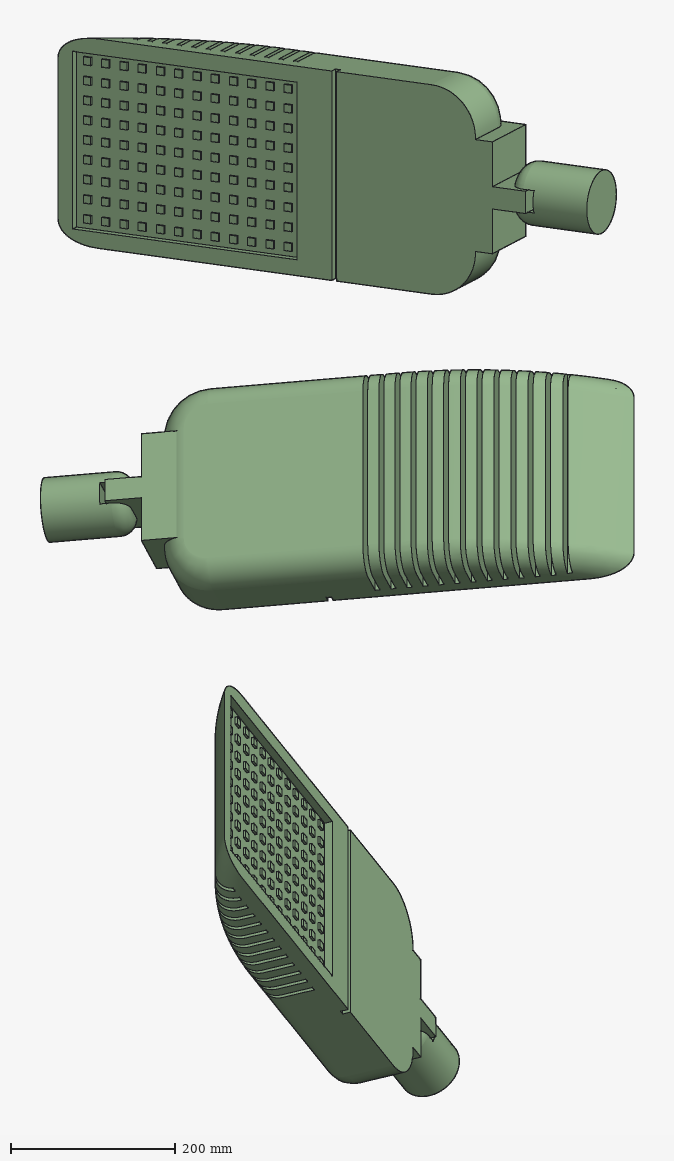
import cadquery as cq
import math

overall_length = 722.0
body_length = 572.0
body_width = 265.0
body_thickness = 91.0
nose_length = 277.0
rear_corner_radius = 60.0
back_fillet = 30.0

slot_count = 13
slot_row_length = 240.0
slot_pitch = slot_row_length / (slot_count - 1)
slot_width = 6.0
slot_floor = 20.0
first_slot_x = 76.0

groove_x = 378.0
groove_width = 6.5
groove_depth = 10.0

window_start = 20.0
window_length = 307.0
window_width = 224.5
window_depth = 10.0
led_columns = 12
led_rows = 9
led_row_length = 275.0
led_pitch = led_row_length / (led_columns - 1)
led_size = 10.0
led_height = 3.0

mount_thickness = 89.5
block_width = 141.5
block_end = 595.0
tongue_width = 28.0
tongue_end = 640.5
socket_start = 614.0
socket_diameter = 79.5
socket_fillet = 20.0
socket_axis_y = 44.0
socket_slot_end = 648.0


def box_between(x_start, x_end, y_start, y_end, width):
    """Box spanning the given X and Y ranges, centred on Z = 0."""
    return cq.Workplane("XY").box(
        x_end - x_start, y_end - y_start, width, centered=(False, False, True)
    ).translate((x_start, y_start, 0))


def make_body():
    """Housing with an arched nose, rounded rear corners and a rounded back edge."""
    arc_radius = (nose_length**2 + body_thickness**2) / (2 * body_thickness)
    half_sweep = math.asin(nose_length / arc_radius) / 2
    arc_middle = (
        nose_length - arc_radius * math.sin(half_sweep),
        body_thickness - arc_radius * (1 - math.cos(half_sweep)),
    )
    body = (
        cq.Workplane("XY")
        .moveTo(0, 0)
        .threePointArc(arc_middle, (nose_length, body_thickness))
        .lineTo(body_length, body_thickness)
        .lineTo(body_length, 0)
        .close()
        .extrude(body_width / 2, both=True)
    )
    body = body.edges("|Y and >X").fillet(rear_corner_radius)
    return body.faces(">Y").edges(">Z").fillet(back_fillet)


def cut_cooling_slots(body):
    for index in range(slot_count):
        slot_start = first_slot_x - slot_width / 2 + index * slot_pitch
        slot = box_between(slot_start, slot_start + slot_width, slot_floor, body_thickness, body_width)
        body = body.cut(slot)
    return body


def cut_groove(body):
    groove_start = groove_x - groove_width / 2
    return body.cut(box_between(groove_start, groove_start + groove_width, 0, groove_depth, body_width))


def add_led_window(body):
    """Recess the lens side and stand a grid of LED blocks on the recess floor."""
    window_end = window_start + window_length
    body = body.cut(box_between(window_start, window_end, 0, window_depth, window_width))
    window_middle = (window_start + window_end) / 2
    leds = (
        cq.Workplane("XZ", origin=(window_middle, window_depth, 0))
        .rarray(led_pitch, led_pitch, led_columns, led_rows)
        .rect(led_size, led_size)
        .extrude(led_height)
    )
    return body.union(leds)


def make_mount():
    """Block and tongue flush with the lens side, carrying the slotted pole socket."""
    block_start = body_length - rear_corner_radius
    block = box_between(block_start, block_end, 0, mount_thickness, block_width)
    tongue = box_between(block_start, tongue_end, 0, mount_thickness, tongue_width)
    socket = (
        cq.Workplane("YZ", origin=(socket_start, socket_axis_y, 0))
        .circle(socket_diameter / 2)
        .extrude(overall_length - socket_start)
        .faces("<X")
        .edges()
        .fillet(socket_fillet)
    )
    socket = socket.cut(box_between(socket_start, socket_slot_end, 0, body_thickness, tongue_width))
    return block.union(tongue).union(socket)


body = make_body()
body = cut_cooling_slots(body)
body = cut_groove(body)
body = add_led_window(body)
result = body.union(make_mount())